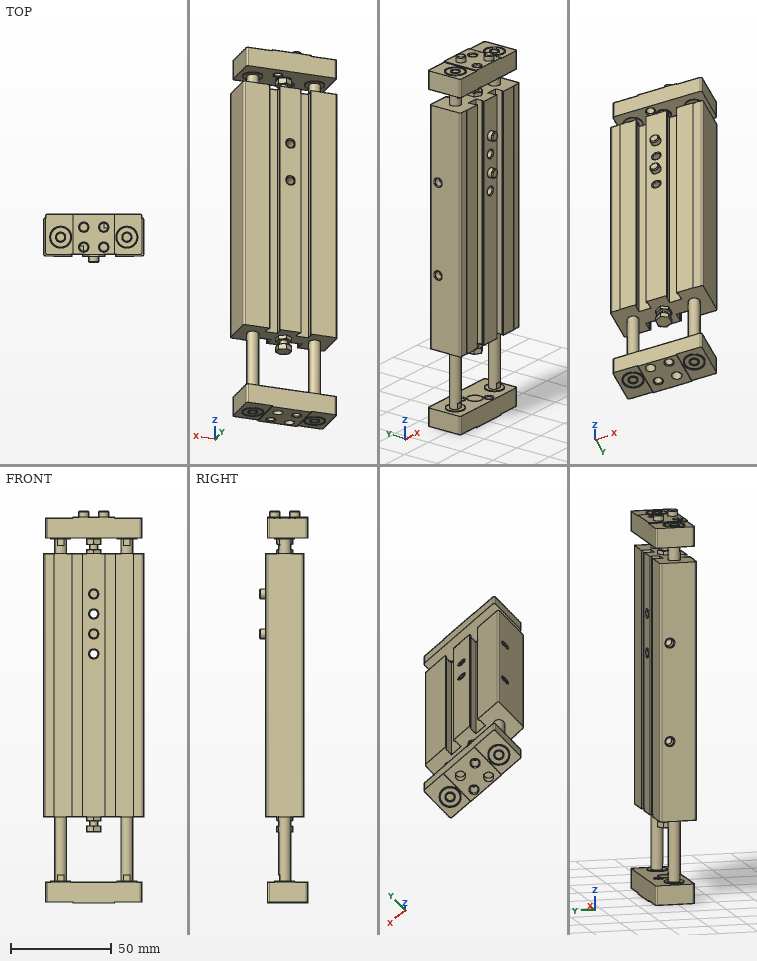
import cadquery as cq
import math


total_height = 195.0
pin_protrusion = 3.0
slide_height = total_height - pin_protrusion

housing_width = 50.0
housing_depth = 19.1
housing_height = 131.0
housing_bottom = 42.9
housing_fillet = 1.0
housing_front = -housing_depth / 2
housing_top = housing_bottom + housing_height
housing_middle = housing_bottom + housing_height / 2
raised_width = 39.4
raised_height = 0.2

mouth_near_x = 5.55
mouth_far_x = 11.0
slot_undercut = 0.5
slot_lip = 1.0
slot_depth = 5.0

hole_diameter = 4.0
hole_mouth_diameter = 5.0
hole_chamfer = (hole_mouth_diameter - hole_diameter) / 2
hole_pitch = 10.0
drill_tip_angle = 118.0

port_depth = 4.0
port_y = 4.5
port_spacing = 50.0
front_hole_count = 4
first_hole_drop = 20.0

pin_diameter = 5.0
pin_insertion = 5.0
pin_chamfer = 0.5

plate_width = 48.0
plate_back = 11.5
plate_front = -8.5
plate_depth = plate_back - plate_front
plate_thickness = 10.0
plate_fillet = 1.0
pad_width = 20.9
pad_height = 0.5
bumper_diameter = 8.0
bumper_recess = 0.2

rod_diameter = 6.0
rod_x = 33.0 / 2
collar_diameter = 10.0
collar_height = 0.5
seat_groove_diameter = 11.0
seat_groove_depth = 0.5
groove_width = (seat_groove_diameter - collar_diameter) / 2
core_groove_diameter = 5.0
flat_height = 3.1
flat_depth = 0.5

thread_diameter = 4.0
hex_across_flats = 7.0
nut_height = 2.0
head_height = 3.0
stop_length = 7.5
thread_engagement = 6.0


def cylinder(diameter, height, x=0, y=0, z=0):
    """Upright cylinder whose lower end is centred at (x, y, z)."""
    return cq.Workplane("XY", origin=(x, y, z)).circle(diameter / 2).extrude(height)


def block(width, depth, height, x=0, y=0, z=0):
    """Box centred on x that grows from y and z."""
    return cq.Workplane("XY", origin=(x, y, z)).box(width, depth, height, centered=(True, False, False))


def revolve_about_z(outline):
    """Body turned from (radius, z) points."""
    return cq.Workplane("XZ").polyline(outline).close().revolve(360, (0, 0, 0), (0, 1, 0))


def through_hole_cutter(length):
    """Hole from Z = 0 down to Z = -length, chamfered at both ends."""
    core = hole_diameter / 2
    mouth = hole_mouth_diameter / 2
    return revolve_about_z([
        (0, 0),
        (mouth, 0),
        (core, -hole_chamfer),
        (core, hole_chamfer - length),
        (mouth, -length),
        (0, -length),
    ])


def port_cutter():
    """Blind hole below Z = 0 with a chamfered mouth and a drill tip."""
    core = hole_diameter / 2
    tip_length = core / math.tan(math.radians(drill_tip_angle / 2))
    return revolve_about_z([
        (0, 0),
        (hole_mouth_diameter / 2, 0),
        (core, -hole_chamfer),
        (core, -port_depth),
        (0, -port_depth - tip_length),
    ])


def face_front(body, z):
    """Turn a body's +Z axis towards -Y and set its origin on the housing front at height z."""
    return body.rotate((0, 0, 0), (1, 0, 0), 90).translate((0, housing_front, z))


def front_hole_height(index):
    return housing_top - first_hole_drop - index * hole_pitch


def slot_cutter(side, face):
    """Undercut slot along Z; side picks -X or +X, face picks the front (-1) or the back (+1)."""
    section = [
        (mouth_near_x, 0),
        (mouth_far_x, 0),
        (mouth_far_x, slot_lip),
        (mouth_far_x + slot_undercut, slot_lip),
        (mouth_far_x + slot_undercut, slot_depth),
        (mouth_near_x - slot_undercut, slot_depth),
        (mouth_near_x - slot_undercut, slot_lip),
        (mouth_near_x, slot_lip),
    ]
    outline = [(side * x, face * (housing_depth / 2 - depth)) for x, depth in section]
    return cq.Workplane("XY", origin=(0, 0, housing_bottom)).polyline(outline).close().extrude(housing_height)


def make_housing():
    base_depth = housing_depth - raised_height
    base_front = housing_front + raised_height
    body = block(housing_width, base_depth, housing_height, y=base_front, z=housing_bottom)
    body = body.edges("|Z").fillet(housing_fillet)
    body = body.union(block(raised_width, housing_depth / 2, housing_height, y=housing_front, z=housing_bottom))

    for side in (-1, 1):
        for face in (-1, 1):
            body = body.cut(slot_cutter(side, face))
        body = body.cut(cylinder(rod_diameter, housing_height, x=side * rod_x, z=housing_bottom))

    for side in (-1, 1):
        port = port_cutter().rotate((0, 0, 0), (0, 1, 0), -90)
        port_z = housing_middle + side * port_spacing / 2
        body = body.cut(port.translate((-housing_width / 2, port_y, port_z)))

    for index in range(front_hole_count):
        if index % 2 == 0:
            cutter = cylinder(pin_diameter, pin_insertion, z=-pin_insertion)
        else:
            cutter = through_hole_cutter(housing_depth)
        body = body.cut(face_front(cutter, front_hole_height(index)))

    for hole_z in (housing_bottom, housing_top - thread_engagement):
        body = body.cut(cylinder(thread_diameter, thread_engagement, z=hole_z))
    return body


def ring_groove(outer_diameter, x):
    """Narrow ring groove in the outer face of a plate."""
    floor = plate_thickness - seat_groove_depth
    ring = cylinder(outer_diameter, seat_groove_depth, x=x, z=floor)
    return ring.cut(cylinder(outer_diameter - 2 * groove_width, seat_groove_depth, x=x, z=floor))


def make_plate():
    """End plate with its inner face on Z = 0 and its outer face upwards."""
    pad_top = plate_thickness + pad_height
    plate = block(plate_width, plate_depth, plate_thickness, y=plate_front).edges("|Z").fillet(plate_fillet)
    plate = plate.union(block(pad_width, plate_depth, pad_height, y=plate_front, z=plate_thickness))
    plate = plate.cut(cylinder(bumper_diameter, bumper_recess))

    for side in (-1, 1):
        offset = side * hole_pitch / 2
        plate = plate.cut(through_hole_cutter(pad_top).translate((offset, offset, pad_top)))
        plate = plate.cut(cylinder(pin_diameter, pin_insertion, offset, -offset, pad_top - pin_insertion))

        seat_x = side * rod_x
        plate = plate.union(cylinder(collar_diameter, collar_height, x=seat_x, z=-collar_height))
        plate = plate.cut(ring_groove(seat_groove_diameter, seat_x))
        plate = plate.cut(ring_groove(core_groove_diameter, seat_x))
    return plate


def make_slide():
    """Two end plates joined by the two guide rods."""
    lower_inner_z = pad_height + plate_thickness
    upper_inner_z = slide_height - lower_inner_z
    lower_plate = make_plate().rotate((0, 0, 0), (0, 1, 0), 180).translate((0, 0, lower_inner_z))
    slide = make_plate().translate((0, 0, upper_inner_z)).union(lower_plate)

    flat_heights = (lower_inner_z + collar_height, upper_inner_z - collar_height - flat_height)
    for side in (-1, 1):
        x = side * rod_x
        rod = cylinder(rod_diameter, upper_inner_z - lower_inner_z, x=x, z=lower_inner_z)
        for flat_z in flat_heights:
            rod = rod.cut(block(rod_diameter, flat_depth, flat_height, x, -rod_diameter / 2, flat_z))
        slide = slide.union(rod)
    return slide


def hexagon(height):
    """Hexagonal prism from Z = 0 with corners along Y, its upper corners chamfered at 30 degrees."""
    flat_radius = hex_across_flats / 2
    corner_radius = flat_radius / math.cos(math.radians(30))
    chamfer_height = (corner_radius - flat_radius) * math.tan(math.radians(30))
    prism = cq.Workplane("XY").polygon(6, 2 * corner_radius).extrude(height).rotate((0, 0, 0), (0, 0, 1), 30)
    envelope = revolve_about_z([
        (0, 0),
        (corner_radius, 0),
        (corner_radius, height - chamfer_height),
        (flat_radius, height),
        (0, height),
    ])
    return prism.intersect(envelope)


def make_nut():
    """Upper lock nut, resting on the housing."""
    nut = hexagon(nut_height).cut(cylinder(thread_diameter, nut_height))
    return nut.translate((0, 0, housing_top))


def make_stop_screw():
    """Upper stop screw; the chamfered side of its head faces the housing."""
    shank_length = thread_engagement + stop_length - head_height
    shank = cylinder(thread_diameter, shank_length, z=housing_top - thread_engagement)
    head = hexagon(head_height).rotate((0, 0, 0), (1, 0, 0), 180)
    return head.translate((0, 0, housing_top + stop_length)).union(shank)


def mirrored_to_lower_end(body):
    return body.mirror("XY", (0, 0, housing_middle))


def make_pin():
    """Locating pin along Z with Z = 0 at the face it stands in."""
    pin = cylinder(pin_diameter, pin_insertion + pin_protrusion, z=-pin_insertion)
    return pin.faces(">Z").chamfer(pin_chamfer)


housing = make_housing()
slide = make_slide()
nuts = [make_nut(), mirrored_to_lower_end(make_nut())]
stop_screws = [make_stop_screw(), mirrored_to_lower_end(make_stop_screw())]

front_pins = []
for index in range(0, front_hole_count, 2):
    front_pins.append(face_front(make_pin(), front_hole_height(index)))

plate_pins = []
for side in (-1, 1):
    offset = side * hole_pitch / 2
    plate_pins.append(make_pin().translate((offset, -offset, slide_height)))

bodies = [housing, slide, *nuts, *stop_screws, *front_pins, *plate_pins]
result = cq.Compound.makeCompound([body.solids().val() for body in bodies])